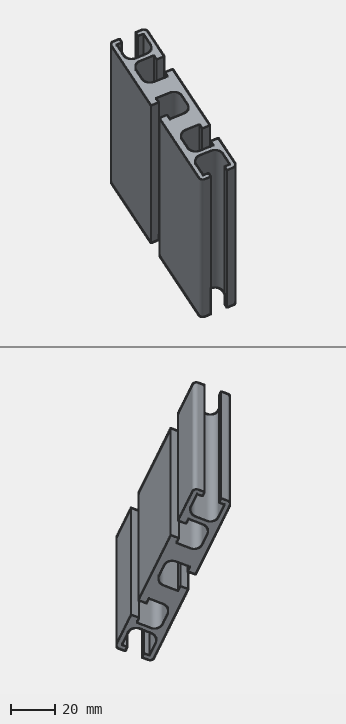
import cadquery as cq

WIDTH = 90.0
THICKNESS = 18.5
LENGTH = 100.0
CORNER_RADIUS = 2.0

MOUTH_WIDTH = 8.2
CHAMBER_WIDTH = 13.6
CHAMBER_RADIUS = 4.0
FACE_SLOT_DEPTH = 15.0
FACE_LIP = 4.0
SIDE_SLOT_DEPTH = 13.3
SIDE_LIP = 2.4
BACK_SLOT_OFFSET = WIDTH / 4


def make_slot(depth, lip):
    """Full-length T-slot cutter entering at the origin and running toward +Y."""
    chamber_depth = depth - lip
    mouth = cq.Workplane("XY").center(0, lip / 2).rect(MOUTH_WIDTH, lip).extrude(LENGTH)
    chamber = (
        cq.Workplane("XY")
        .center(0, lip + chamber_depth / 2)
        .rect(CHAMBER_WIDTH, chamber_depth)
        .extrude(LENGTH)
        .edges("|Z and >Y")
        .fillet(CHAMBER_RADIUS)
    )
    return mouth.union(chamber)


def place_slot(slot, angle, x, y):
    """Turn a slot cutter about Z and move its mouth to (x, y)."""
    return slot.rotate((0, 0, 0), (0, 0, 1), angle).translate((x, y, 0))


result = cq.Workplane("XY").rect(WIDTH, THICKNESS).extrude(LENGTH).edges("|Z").fillet(CORNER_RADIUS)

face_slot = make_slot(FACE_SLOT_DEPTH, FACE_LIP)
side_slot = make_slot(SIDE_SLOT_DEPTH, SIDE_LIP)

result = result.cut(place_slot(face_slot, 0, 0, -THICKNESS / 2))

for side in (-1, 1):
    result = result.cut(place_slot(face_slot, 180, side * BACK_SLOT_OFFSET, THICKNESS / 2))
    result = result.cut(place_slot(side_slot, side * 90, side * WIDTH / 2, 0))